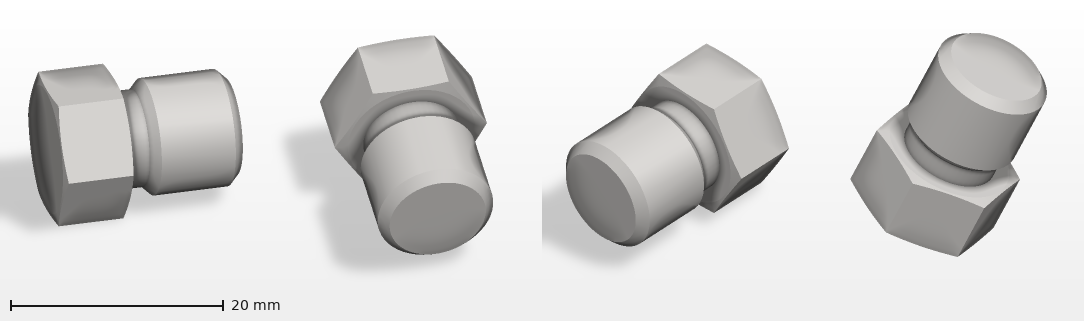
import cadquery as cq
import math

total_length = 17.91
across_flats = 12.7
across_corners = across_flats / math.cos(math.pi / 6)
head_length = 6.8
face_diameter = 12.25
corner_chamfer = 0.25
envelope_margin = 0.18

thread_diameter = 11.14
neck_diameter = 9.28
neck_length = 2.05
thread_chamfer = (thread_diameter - neck_diameter) / 2


def revolve_about_y(profile):
    """Turn a half profile of (radius, Y) points about the Y axis."""
    return cq.Workplane("XY").polyline(profile).close().revolve(360, (0, 0), (0, 1))


def make_head():
    """Hexagon with corners on X, its corners turned to a cone at both ends."""
    prism = cq.Workplane("XZ").polygon(6, across_corners).extrude(-head_length)
    face_radius = face_diameter / 2
    corner_radius = across_corners / 2
    slope = corner_chamfer / (corner_radius - face_radius)
    envelope_radius = corner_radius + envelope_margin
    cone_depth = slope * (envelope_radius - face_radius)
    envelope = revolve_about_y([
        (0, 0),
        (face_radius, 0),
        (envelope_radius, cone_depth),
        (envelope_radius, head_length - cone_depth),
        (face_radius, head_length),
        (0, head_length),
    ])
    return prism.intersect(envelope)


def make_shank():
    """Neck and threaded length, chamfered at both ends of the thread."""
    neck_radius = neck_diameter / 2
    thread_radius = thread_diameter / 2
    thread_start = head_length + neck_length
    return revolve_about_y([
        (0, head_length),
        (neck_radius, head_length),
        (neck_radius, thread_start),
        (thread_radius, thread_start + thread_chamfer),
        (thread_radius, total_length - thread_chamfer),
        (neck_radius, total_length),
        (0, total_length),
    ])


result = make_head().union(make_shank())